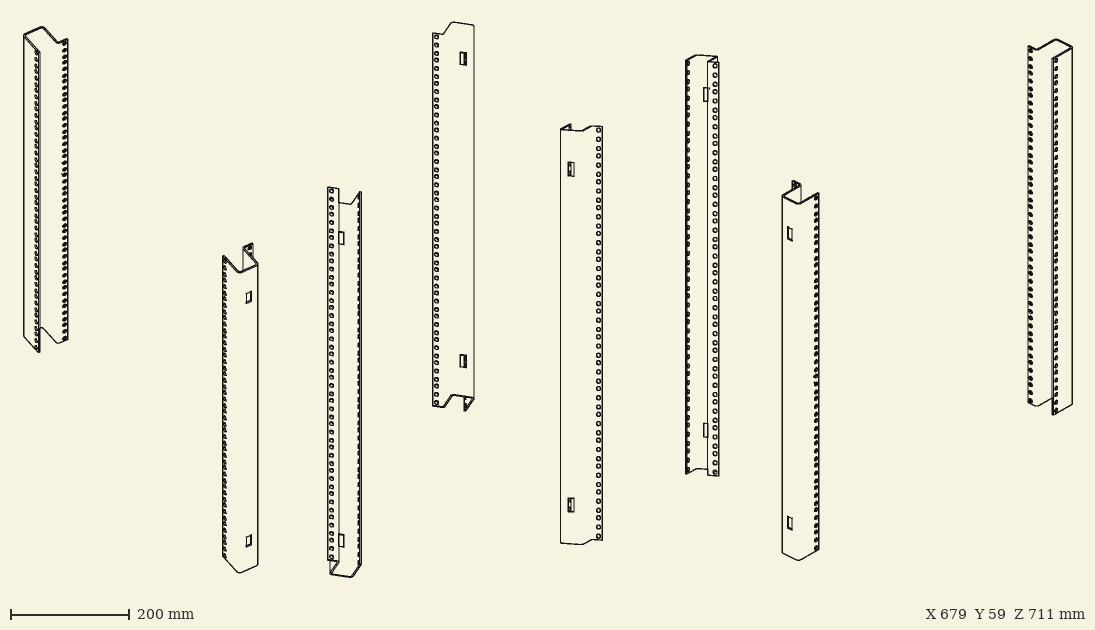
import cadquery as cq

rail_length = 711.0
pair_width = 679.0
rail_depth = 59.0

thickness = 3.0
rail_width = 50.5
lip_length = 18.0
bend_outer_radius = 6.1
lip_bend_outer_radius = 5.0
bend_inner_radius = bend_outer_radius - thickness
lip_bend_inner_radius = lip_bend_outer_radius - thickness

steps_per_unit = 14
steps_between_holes = 5
rack_units = 16
unit_height = rail_length / rack_units
hole_spacing = unit_height * steps_between_holes / steps_per_unit
hole_diameter = 7.0
flange_hole_inset = 7.0
lip_hole_inset = 6.5

slot_width = 11.0
slot_height = 23.5
slot_end_distance = 67.0
slot_front_distance = 20.5

outer_x = -pair_width / 2
inner_x = outer_x + rail_width
front_y = -rail_depth / 2
lip_end_y = rail_depth / 2
back_y = lip_end_y - lip_length
bottom_z = -rail_length / 2


def fillet_corner(solid, x, y, radius):
    """Round the vertical edge that stands at (x, y)."""
    edge = cq.selectors.NearestToPointSelector((x, y, 0))
    return solid.edges("|Z").edges(edge).fillet(radius)


def bent_sheet():
    """Front flange, side wall, back wall and rear lip bent from one sheet."""
    sheet = (
        cq.Workplane("XY", origin=(0, 0, bottom_z))
        .moveTo(inner_x, front_y)
        .lineTo(outer_x, front_y)
        .lineTo(outer_x, back_y)
        .lineTo(inner_x - thickness, back_y)
        .lineTo(inner_x - thickness, lip_end_y)
        .lineTo(inner_x, lip_end_y)
        .lineTo(inner_x, back_y - thickness)
        .lineTo(outer_x + thickness, back_y - thickness)
        .lineTo(outer_x + thickness, front_y + thickness)
        .lineTo(inner_x, front_y + thickness)
        .close()
        .extrude(rail_length)
    )
    bends = [
        (outer_x, front_y, bend_outer_radius),
        (outer_x + thickness, front_y + thickness, bend_inner_radius),
        (outer_x, back_y, bend_outer_radius),
        (outer_x + thickness, back_y - thickness, bend_inner_radius),
        (inner_x, back_y - thickness, lip_bend_outer_radius),
        (inner_x - thickness, back_y, lip_bend_inner_radius),
    ]
    for x, y, radius in bends:
        sheet = fillet_corner(sheet, x, y, radius)
    return sheet


def hole_heights():
    """Heights of all rack holes along the rail."""
    heights = []
    for unit in range(rack_units):
        unit_centre = bottom_z + (unit + 0.5) * unit_height
        heights += [unit_centre + offset * hole_spacing for offset in (-1, 0, 1)]
    return heights


def flange_holes():
    """Cutters for the row of holes along the front flange."""
    centres = [(inner_x - flange_hole_inset, z) for z in hole_heights()]
    plane = cq.Workplane("XZ", origin=(0, front_y + thickness, 0))
    return plane.pushPoints(centres).circle(hole_diameter / 2).extrude(thickness)


def lip_holes():
    """Cutters for the row of holes along the rear lip."""
    centres = [(lip_end_y - lip_hole_inset, z) for z in hole_heights()]
    plane = cq.Workplane("YZ", origin=(inner_x - thickness, 0, 0))
    return plane.pushPoints(centres).circle(hole_diameter / 2).extrude(thickness)


def mounting_slots():
    """Cutters for the two rectangular slots near the ends of the side wall."""
    slot_y = front_y + slot_front_distance
    slot_z = rail_length / 2 - slot_end_distance
    plane = cq.Workplane("YZ", origin=(outer_x, 0, 0))
    centres = [(slot_y, -slot_z), (slot_y, slot_z)]
    return plane.pushPoints(centres).rect(slot_width, slot_height).extrude(thickness)


def rack_rail():
    """The left rail: the bent sheet with its holes and slots."""
    return bent_sheet().cut(flange_holes()).cut(lip_holes()).cut(mounting_slots())


left_rail = rack_rail()
rails = [left_rail, left_rail.mirror("YZ")]

result = cq.Compound.makeCompound([rail.val() for rail in rails])